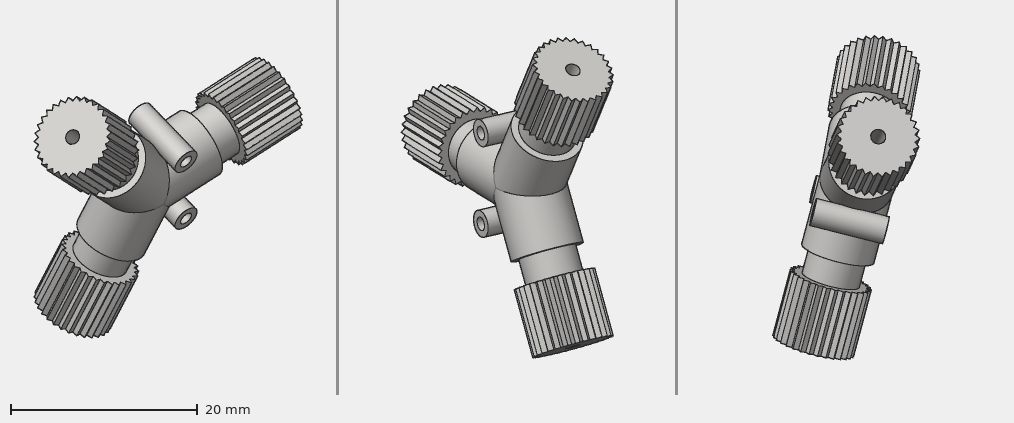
import cadquery as cq
import math

OVERALL_HEIGHT = 36.52
ARM_COUNT = 3
ARM_PITCH = 360.0 / ARM_COUNT

BARREL_RADIUS = 4.0
BARREL_LENGTH = 8.0
BORE_RADIUS = 0.8

LUG_RADIUS = 1.5
LUG_HOLE_RADIUS = 0.75
LUG_LENGTH = 2 * BARREL_RADIUS
LUG_DISTANCE = 6.05
LUG_ANGLE = ARM_PITCH / 2

SHANK_RADIUS = 3.18
KNOB_START = 11.0
TOOTH_COUNT = 30
TOOTH_PITCH = 360.0 / TOOTH_COUNT
CREST_RADIUS = 4.5
ROOT_RADIUS = 4.0

TILT = math.radians(180.0 - ARM_PITCH)
KNOB_HALF_WIDTH = CREST_RADIUS * math.cos(math.radians(TOOTH_PITCH / 2))
KNOB_END = (OVERALL_HEIGHT / 2 - KNOB_HALF_WIDTH * math.cos(TILT)) / math.sin(TILT)
KNOB_LENGTH = KNOB_END - KNOB_START


def along_arm(shape, index):
    """Turn a shape built along +Z about the X axis onto one arm."""
    return shape.rotate((0, 0, 0), (1, 0, 0), index * ARM_PITCH - 90)


def cylinder(radius, length, start=0.0):
    """Cylinder along +Z that begins at the given height."""
    return cq.Workplane("XY").workplane(offset=start).circle(radius).extrude(length)


def cross_cylinder(radius, side):
    """Cylinder along X at the lug position above (side 1) or below (side -1) the first arm."""
    angle = math.radians(LUG_ANGLE)
    y = LUG_DISTANCE * math.cos(angle)
    z = side * LUG_DISTANCE * math.sin(angle)
    end_face = cq.Workplane("YZ").workplane(offset=-LUG_LENGTH / 2)
    return end_face.center(y, z).circle(radius).extrude(LUG_LENGTH)


def make_housing():
    """Y-shaped housing with two lugs and bores that meet in the middle."""
    body = along_arm(cylinder(BARREL_RADIUS, BARREL_LENGTH), 0)
    for index in range(1, ARM_COUNT):
        body = body.union(along_arm(cylinder(BARREL_RADIUS, BARREL_LENGTH), index))
    for side in (1, -1):
        body = body.union(cross_cylinder(LUG_RADIUS, side))
        body = body.cut(cross_cylinder(LUG_HOLE_RADIUS, side))
    for index in range(ARM_COUNT):
        body = body.cut(along_arm(cylinder(BORE_RADIUS, BARREL_LENGTH), index))
    return body


def serrated_outline():
    """Closed zigzag of crests and roots, starting with a crest on +X."""
    points = []
    for step in range(2 * TOOTH_COUNT):
        radius = CREST_RADIUS if step % 2 == 0 else ROOT_RADIUS
        angle = math.radians(step * TOOTH_PITCH / 2)
        points.append((radius * math.cos(angle), radius * math.sin(angle)))
    return points


def make_fitting(index):
    """Shank that seats on the barrel end, its serrated knob, and the bore through both."""
    shank = cylinder(SHANK_RADIUS, KNOB_START - BARREL_LENGTH, BARREL_LENGTH)
    knob = (
        cq.Workplane("XY")
        .workplane(offset=KNOB_START)
        .polyline(serrated_outline())
        .close()
        .extrude(KNOB_LENGTH)
    )
    bore = cylinder(BORE_RADIUS, KNOB_END)
    return along_arm(shank.union(knob).cut(bore), index)


housing_solid = make_housing().solids().val()
fitting_solids = [make_fitting(index).solids().val() for index in range(ARM_COUNT)]

result = cq.Compound.makeCompound([housing_solid, *fitting_solids])